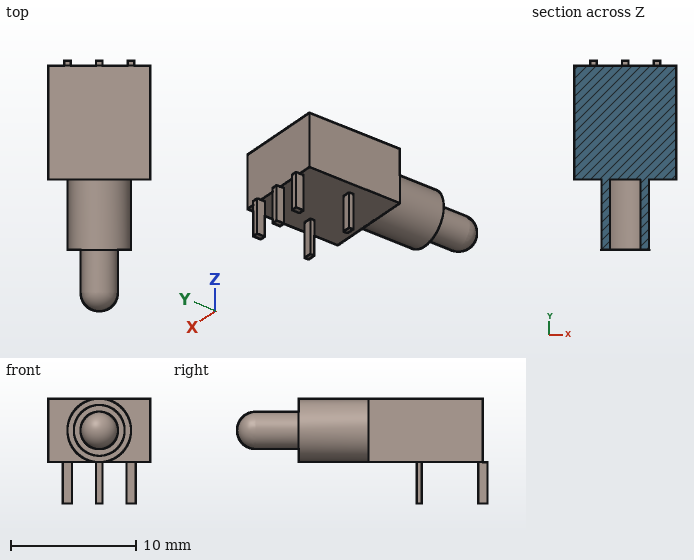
import cadquery as cq

body_width = 8.14
body_depth = 9.1
body_height = 5.08

bushing_diameter = body_height
bushing_bore = 4.05
bushing_length = 5.6
plunger_diameter = 3.0
plunger_radius = plunger_diameter / 2

pin_length = 3.3
pin_pitch = 2.54
row_spacing = 2 * pin_pitch
rear_pin_width = 0.54
rear_pin_depth = 0.75
front_pin_width = 0.75
front_pin_depth = 0.42

overall_length = 19.99
rear_row_y = body_depth
plunger_reach = overall_length - rear_row_y - rear_pin_depth / 2


def cylinder_forward(diameter, length):
    """Cylinder on the Y axis, running from the body front toward -Y."""
    return cq.Workplane("XZ").circle(diameter / 2).extrude(length)


def make_body():
    return cq.Workplane("XY").box(
        body_width, body_depth, body_height, centered=(True, False, True)
    )


def make_bushing():
    outer = cylinder_forward(bushing_diameter, bushing_length)
    return outer.cut(cylinder_forward(bushing_bore, bushing_length))


def make_plunger():
    """Rod with a hemispherical tip."""
    straight_length = plunger_reach - plunger_radius
    rod = cylinder_forward(plunger_diameter, straight_length)
    tip = cq.Workplane("XY").sphere(plunger_radius).translate((0, -straight_length, 0))
    return rod.union(tip)


def make_pin_row(columns, row_y, width, depth):
    """Row of pins hanging from the body underside, at multiples of the pitch."""
    return (
        cq.Workplane("XY", origin=(0, 0, -body_height / 2))
        .pushPoints([(column * pin_pitch, row_y) for column in columns])
        .rect(width, depth)
        .extrude(-pin_length)
    )


rear_pins = make_pin_row((-1, 0, 1), rear_row_y, rear_pin_width, rear_pin_depth)
front_pins = make_pin_row((-1, 1), rear_row_y - row_spacing, front_pin_width, front_pin_depth)

result = (
    make_body()
    .union(make_bushing())
    .union(make_plunger())
    .union(rear_pins)
    .union(front_pins)
)